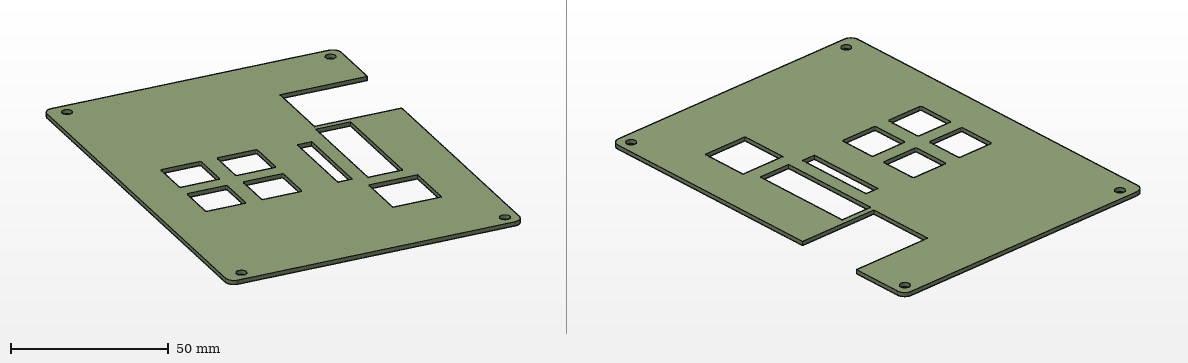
import cadquery as cq

length = 137.0
width = 103.3
thickness = 1.5
corner_radius = 3.0

hole_diameter = 3.4
hole_x = 64.1
upper_hole_y = 47.3
lower_hole_y = -45.3

notch_left = -46.2
notch_width = 25.2
notch_depth = 30.7

display_center = (0.3, 26.6)
display_size = (38.4, 12.2)
slot_center = (3.5, 12.9)
slot_size = (29.7, 5.0)
square_center = (33.4, 26.8)
square_size = (17.7, 17.1)

key_size = 14.1
key_corner_radius = 0.5
key_pitch_x = 19.2
key_pitch_y = 19.7
key_grid_center = (2.9, -19.6)


def window(center, size):
    """Rectangular cutter through the full thickness."""
    return cq.Workplane("XY").center(*center).rect(*size).extrude(thickness)


def make_plate():
    plate = cq.Workplane("XY").rect(length, width).extrude(thickness)
    return plate.edges("|Z").fillet(corner_radius)


def mounting_holes():
    centers = [(x, y) for x in (-hole_x, hole_x) for y in (lower_hole_y, upper_hole_y)]
    return cq.Workplane("XY").pushPoints(centers).circle(hole_diameter / 2).extrude(thickness)


def notch():
    center = (notch_left + notch_width / 2, width / 2 - notch_depth / 2)
    return window(center, (notch_width, notch_depth))


def key_cutouts():
    keys = (
        cq.Workplane("XY")
        .center(*key_grid_center)
        .rarray(key_pitch_x, key_pitch_y, 2, 2)
        .rect(key_size, key_size)
        .extrude(thickness)
    )
    return keys.edges("|Z").fillet(key_corner_radius)


result = make_plate().cut(mounting_holes()).cut(notch()).cut(key_cutouts())
for window_center, window_size in (
    (display_center, display_size),
    (slot_center, slot_size),
    (square_center, square_size),
):
    result = result.cut(window(window_center, window_size))